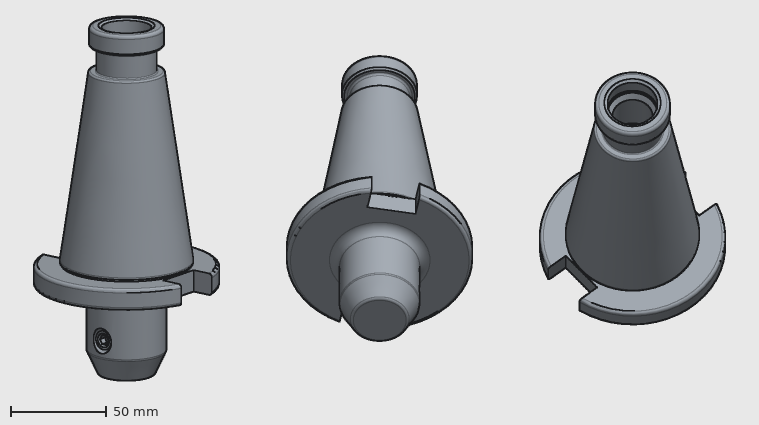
import cadquery as cq
import math

TOTAL_LENGTH = 189.8
NOSE_CONE_TOP = 13.1
FLANGE_BOTTOM = 48.0
FLANGE_TOP = 59.8
UNDERCUT_TOP = 61.0
TAPER_BOTTOM = 62.3
TAPER_TOP = 165.1
KNOB_BOTTOM = 178.6

NOSE_RADIUS = 21.0
FLANGE_RADIUS = 48.8
TAPER_LARGE_RADIUS = 35.1
TAPER_RATIO = 7 / 24
UNDERCUT_DEPTH = 0.8
NECK_RADIUS = 16.0
KNOB_RADIUS = 19.7

NOSE_CONE_ANGLE = 25.0
TIP_ROUND = 1.7
SHOULDER_ROUND = 2.3
FLANGE_ROOT_ROUND = 5.3
FLANGE_ROUND = 1.9
TAPER_TOP_ROUND = 1.1
NECK_ROOT_ROUND = 0.5
NECK_TOP_ROUND = 1.1
KNOB_TOP_ROUND = 1.9
KNOB_BOTTOM_CHAMFER = 1.1

SLOT_WIDTH = 25.6
SLOT_FLOOR_DISTANCE = 35.0

BORE_RADIUS = 13.1
BORE_MOUTH_RADIUS = 14.8
BORE_MOUTH_DEPTH = 1.0
BORE_DEPTH = 9.3
RELIEF_RADIUS = 13.5
RELIEF_WIDTH = 1.7
PILOT_RADIUS = 10.6
PILOT_SEAT_DEPTH = 2.8
PILOT_LENGTH = 22.8
DRILL_POINT_ANGLE = 118.0

SCREW_HEIGHT = 22.4
SINK_MOUTH_RADIUS = 6.8
SCREW_FACE_DEPTH = 1.7
SOCKET_MOUTH_RADIUS = 3.8
SOCKET_MOUTH_DEPTH = 0.8
SOCKET_ACROSS_FLATS = 5.0
SOCKET_DEPTH = 4.7


def cylinder(radius, bottom, top):
    return cq.Workplane("XY").workplane(offset=bottom).circle(radius).extrude(top - bottom)


def make_nose():
    tip_radius = NOSE_RADIUS - NOSE_CONE_TOP * math.tan(math.radians(NOSE_CONE_ANGLE))
    profile = [
        (0, 0),
        (tip_radius, 0),
        (NOSE_RADIUS, NOSE_CONE_TOP),
        (NOSE_RADIUS, FLANGE_BOTTOM),
        (0, FLANGE_BOTTOM),
    ]
    nose = cq.Workplane("XZ").polyline(profile).close().revolve(360, (0, 0), (0, 1))
    nose = nose.faces("<Z").edges().fillet(TIP_ROUND)
    return nose.edges("%CIRCLE").edges(">>Z[-2]").fillet(SHOULDER_ROUND)


def make_flange():
    flange = cylinder(FLANGE_RADIUS, FLANGE_BOTTOM, FLANGE_TOP).edges("%CIRCLE").fillet(FLANGE_ROUND)
    root = (
        cq.Workplane("XZ")
        .moveTo(0, FLANGE_BOTTOM)
        .lineTo(NOSE_RADIUS + FLANGE_ROOT_ROUND, FLANGE_BOTTOM)
        .radiusArc((NOSE_RADIUS, FLANGE_BOTTOM - FLANGE_ROOT_ROUND), -FLANGE_ROOT_ROUND)
        .lineTo(0, FLANGE_BOTTOM - FLANGE_ROOT_ROUND)
        .close()
        .revolve(360, (0, 0), (0, 1))
    )
    slot_length = FLANGE_RADIUS
    slot_height = FLANGE_TOP - FLANGE_BOTTOM
    for side in (-1, 1):
        slot = cq.Workplane("XY").box(slot_length, SLOT_WIDTH, slot_height).translate(
            (side * (SLOT_FLOOR_DISTANCE + slot_length / 2), 0, FLANGE_BOTTOM + slot_height / 2)
        )
        flange = flange.cut(slot)
    return flange.union(root)


def make_taper():
    top_radius = TAPER_LARGE_RADIUS - (TAPER_TOP - TAPER_BOTTOM) * TAPER_RATIO / 2
    profile = [
        (0, UNDERCUT_TOP),
        (TAPER_LARGE_RADIUS, UNDERCUT_TOP),
        (TAPER_LARGE_RADIUS, TAPER_BOTTOM),
        (top_radius, TAPER_TOP),
        (0, TAPER_TOP),
    ]
    taper = cq.Workplane("XZ").polyline(profile).close().revolve(360, (0, 0), (0, 1))
    taper = taper.faces(">Z").edges().fillet(TAPER_TOP_ROUND)
    undercut = cylinder(TAPER_LARGE_RADIUS - UNDERCUT_DEPTH, FLANGE_TOP, UNDERCUT_TOP)
    return taper.union(undercut)


def make_knob():
    neck = (
        cq.Workplane("XZ")
        .moveTo(0, TAPER_TOP)
        .lineTo(NECK_RADIUS + NECK_ROOT_ROUND, TAPER_TOP)
        .radiusArc((NECK_RADIUS, TAPER_TOP + NECK_ROOT_ROUND), NECK_ROOT_ROUND)
        .lineTo(NECK_RADIUS, KNOB_BOTTOM - NECK_TOP_ROUND)
        .radiusArc((NECK_RADIUS + NECK_TOP_ROUND, KNOB_BOTTOM), NECK_TOP_ROUND)
        .lineTo(0, KNOB_BOTTOM)
        .close()
        .revolve(360, (0, 0), (0, 1))
    )
    head = cylinder(KNOB_RADIUS, KNOB_BOTTOM, TOTAL_LENGTH)
    head = head.faces(">Z").edges().fillet(KNOB_TOP_ROUND)
    head = head.faces("<Z").edges().chamfer(KNOB_BOTTOM_CHAMFER)
    return neck.union(head)


def make_bore():
    bore_bottom = TOTAL_LENGTH - BORE_DEPTH
    relief_bottom = bore_bottom - RELIEF_WIDTH
    pilot_top = relief_bottom - PILOT_SEAT_DEPTH
    pilot_bottom = pilot_top - PILOT_LENGTH
    point_depth = PILOT_RADIUS / math.tan(math.radians(DRILL_POINT_ANGLE / 2))
    profile = [
        (0, TOTAL_LENGTH),
        (BORE_MOUTH_RADIUS, TOTAL_LENGTH),
        (BORE_RADIUS, TOTAL_LENGTH - BORE_MOUTH_DEPTH),
        (BORE_RADIUS, bore_bottom),
        (RELIEF_RADIUS, bore_bottom),
        (RELIEF_RADIUS, relief_bottom),
        (BORE_RADIUS, relief_bottom),
        (PILOT_RADIUS, pilot_top),
        (PILOT_RADIUS, pilot_bottom),
        (0, pilot_bottom - point_depth),
    ]
    return cq.Workplane("XZ").polyline(profile).close().revolve(360, (0, 0), (0, 1))


def make_screw_recess():
    """Countersunk hole down to the screw face, with the hex socket of the screw."""
    face_y = -NOSE_RADIUS + SCREW_FACE_DEPTH

    def plane_at(y):
        return cq.Workplane("XZ", origin=(0, y, SCREW_HEIGHT))

    sink_floor_radius = SINK_MOUTH_RADIUS - SCREW_FACE_DEPTH
    sink = (
        plane_at(-NOSE_RADIUS)
        .circle(SINK_MOUTH_RADIUS)
        .workplane(offset=-SCREW_FACE_DEPTH)
        .circle(sink_floor_radius)
        .loft()
    )
    mouth = (
        plane_at(face_y)
        .circle(SOCKET_MOUTH_RADIUS)
        .workplane(offset=-SOCKET_MOUTH_DEPTH)
        .circle(SOCKET_ACROSS_FLATS / 2)
        .loft()
    )
    across_corners = SOCKET_ACROSS_FLATS / math.cos(math.pi / 6)
    socket = plane_at(face_y).polygon(6, across_corners).extrude(-SOCKET_DEPTH)
    return sink.union(mouth).union(socket)


body = make_nose().union(make_flange()).union(make_taper()).union(make_knob())
result = body.cut(make_bore()).cut(make_screw_recess())